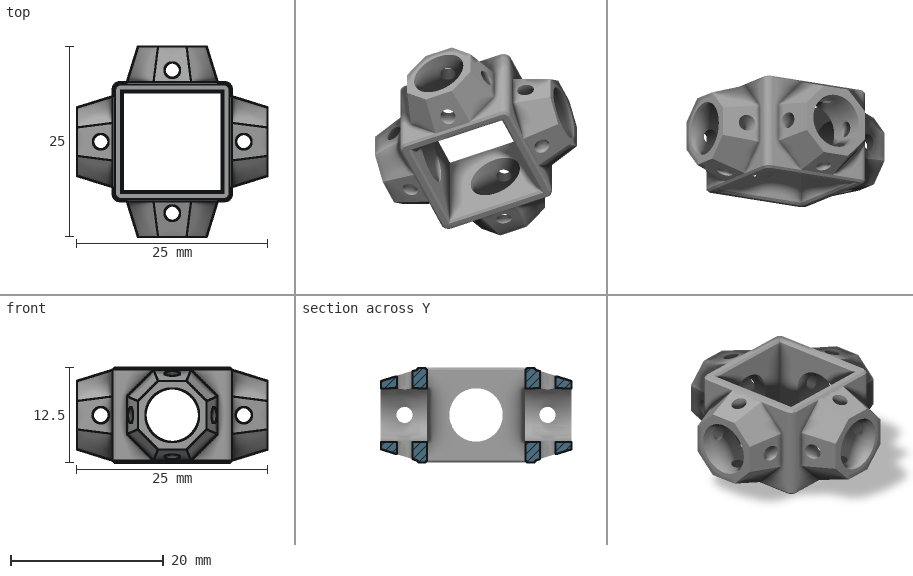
import math

import cadquery as cq

total_length = 25.0

sleeve_height = 12.5
sleeve_width = 15.62
opening_width = 12.9
corner_radius = 1.0
rim_chamfer = corner_radius * (1 - math.cos(math.radians(45)))

tip_offset = total_length / 2
wall_offset = sleeve_width / 2
tip_flats = 9.0
root_flats = 11.9
bore_diameter = 7.0

pin_to_tip = 3.12
pin_offset = tip_offset - pin_to_tip
vertical_pin_diameter = 2.0
horizontal_pin_diameter = 2.1

octagon_sides = 8
half_side_angle = 180 / octagon_sides
side_angles = (0, 90, 180, 270)


def octagon_diameter(flats):
    """Corner-to-corner diameter of an octagon with the given width across flats."""
    return flats / math.cos(math.radians(half_side_angle))


def make_sleeve():
    """Solid block with rounded upright corners and chamfered rims."""
    return (
        cq.Workplane("XY")
        .box(sleeve_width, sleeve_width, sleeve_height)
        .edges("|Z")
        .fillet(corner_radius)
        .faces("<Z or >Z")
        .chamfer(rim_chamfer)
    )


def make_opening():
    """Square passage through the sleeve, widened by a chamfer at both rims."""
    flare_width = opening_width + 2 * rim_chamfer
    passage = cq.Workplane("XY").box(opening_width, opening_width, sleeve_height)
    for rim, inward in ((sleeve_height / 2, -1), (-sleeve_height / 2, 1)):
        flare = (
            cq.Workplane("XY", origin=(0, 0, rim))
            .rect(flare_width, flare_width)
            .workplane(offset=inward * rim_chamfer)
            .rect(opening_width, opening_width)
            .loft(ruled=True)
        )
        passage = passage.union(flare)
    return passage


def make_socket():
    """Solid socket on the +X wall, tapering from the wall to the tip."""
    return (
        cq.Workplane("YZ", origin=(wall_offset, 0, 0))
        .transformed(rotate=(0, 0, half_side_angle))
        .polygon(octagon_sides, octagon_diameter(root_flats))
        .workplane(offset=tip_offset - wall_offset)
        .polygon(octagon_sides, octagon_diameter(tip_flats))
        .loft(ruled=True)
    )


def make_socket_holes():
    """Bore and both pin holes of the +X socket."""
    bore = cq.Workplane("YZ").circle(bore_diameter / 2).extrude(tip_offset)
    vertical_pin = (
        cq.Workplane("XY").center(pin_offset, 0)
        .circle(vertical_pin_diameter / 2)
        .extrude(root_flats / 2, both=True)
    )
    horizontal_pin = (
        cq.Workplane("XZ").center(pin_offset, 0)
        .circle(horizontal_pin_diameter / 2)
        .extrude(root_flats / 2, both=True)
    )
    return bore.union(vertical_pin).union(horizontal_pin)


def turned(shape, angle):
    """Copy of a shape turned about the sleeve axis."""
    return shape.rotate((0, 0, 0), (0, 0, 1), angle)


socket = make_socket()
socket_holes = make_socket_holes()

result = make_sleeve()
for angle in side_angles:
    result = result.union(turned(socket, angle))
result = result.cut(make_opening())
for angle in side_angles:
    result = result.cut(turned(socket_holes, angle))